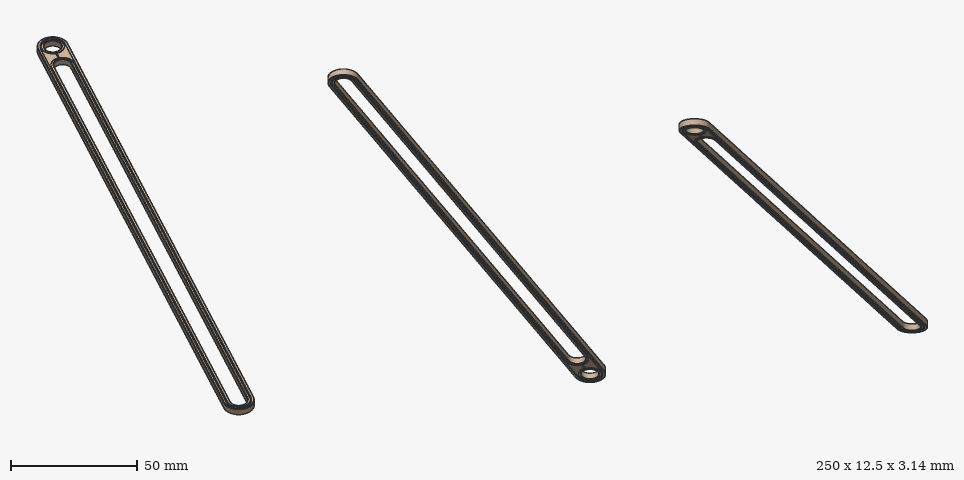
import cadquery as cq

LENGTH = 250.0
WIDTH = 12.5
CORE_THICKNESS = 2.38
GROOVE_DEPTH = 0.38
THICKNESS = CORE_THICKNESS + 2 * GROOVE_DEPTH

OPENING_DIAMETER = 7.0
HOLE_TO_SLOT = 12.5
END_CENTER_X = (LENGTH - WIDTH) / 2
HOLE_X = -END_CENTER_X
SLOT_START_X = HOLE_X + HOLE_TO_SLOT
SLOT_END_X = END_CENTER_X

EDGE_CHAMFER = 0.3
RIM_WIDTH = 1.12
RIB_WIDTH = 0.5
RIB_HEIGHT = 0.2


def link_plate(inset, bottom, top):
    """Plate between two heights, with every edge of its outline moved inward by inset."""
    plane = cq.Workplane("XY").workplane(offset=bottom)
    height = top - bottom
    opening_width = OPENING_DIAMETER + 2 * inset
    slot_center_x = (SLOT_START_X + SLOT_END_X) / 2
    slot_length = SLOT_END_X - SLOT_START_X + opening_width

    bar = plane.slot2D(LENGTH - 2 * inset, WIDTH - 2 * inset).extrude(height)
    hole = plane.center(HOLE_X, 0).circle(opening_width / 2).extrude(height)
    slot = plane.center(slot_center_x, 0).slot2D(slot_length, opening_width).extrude(height)
    return bar.cut(hole).cut(slot)


def top_groove():
    """Material removed from the top face: all but the rims and the web rib."""
    floor = CORE_THICKNESS / 2
    groove = link_plate(RIM_WIDTH, floor, THICKNESS / 2)
    rib = (
        cq.Workplane("XY")
        .workplane(offset=floor)
        .center((HOLE_X + SLOT_START_X) / 2, 0)
        .rect(HOLE_TO_SLOT, RIB_WIDTH)
        .extrude(RIB_HEIGHT)
    )
    return groove.cut(rib)


link = link_plate(0, -THICKNESS / 2, THICKNESS / 2)
link = link.faces("|Z").edges().chamfer(EDGE_CHAMFER)

groove = top_groove()
result = link.cut(groove).cut(groove.mirror("XY"))